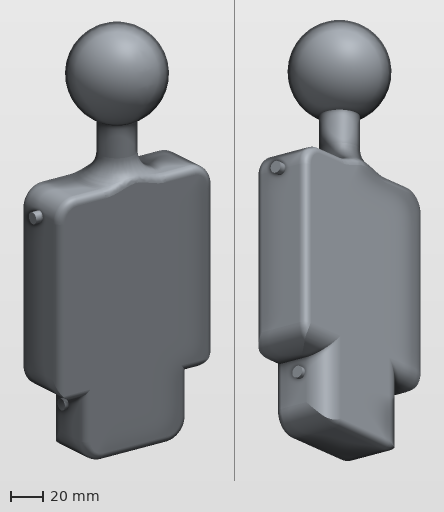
import cadquery as cq
import math

total_height = 279.0
thickness = 40.0
body_width = 120.0
body_top = 180.0
stem_width = 80.0
shoulder_height = 45.0
stem_overlap = 28.0

corner_radius = 15.0
edge_radius = 5.0

ball_radius = 32.5
neck_radius = 12.8
flare_radius = 15.0

pin_radius = 4.0
upper_pin_span = 130.0
lower_pin_span = 86.0
upper_pin_height = body_top - corner_radius
lower_pin_height = 35.5


def block(width, bottom, top):
    """Sharp block of the common thickness, between two heights."""
    height = top - bottom
    return cq.Workplane("XY").box(thickness, width, height).translate((0, 0, bottom + height / 2))


def neck(base):
    """Round neck with a concave flare landing on the top face."""
    flare_edge = neck_radius + flare_radius
    arc_offset = flare_radius * math.sqrt(0.5)
    return (
        cq.Workplane("XZ")
        .moveTo(0, base - corner_radius)
        .lineTo(flare_edge, base - corner_radius)
        .lineTo(flare_edge, base)
        .threePointArc(
            (flare_edge - arc_offset, base + flare_radius - arc_offset),
            (neck_radius, base + flare_radius),
        )
        .lineTo(neck_radius, total_height - ball_radius)
        .lineTo(0, total_height - ball_radius)
        .close()
        .revolve(360, (0, 0, 0), (0, 1, 0))
    )


def shoulder_envelope():
    """Tall block rounding the underside: large end corners and a large -X edge."""
    sharp = block(body_width, shoulder_height, total_height)
    ends = sharp.edges("|X and <Z").fillet(corner_radius)
    ends = ends.faces("<X").edges("not >Z").fillet(edge_radius)
    return ends.intersect(sharp.edges("<X and <Z").fillet(corner_radius))


def upper_body():
    """Wide block with the neck, its flare trimmed flush and rounded with the large faces."""
    body = block(body_width, shoulder_height, body_top).edges("|X and >Z").fillet(corner_radius)
    trim = block(body_width, shoulder_height, total_height)
    body = body.union(neck(body_top).intersect(trim))
    body = body.faces("<X or >X").edges().fillet(edge_radius)
    return body.intersect(shoulder_envelope())


def stem():
    """Narrow lower block, with large rounds on its upright -X edges."""
    top = shoulder_height + stem_overlap
    lower = block(stem_width, 0, top).edges("|X and <Z").fillet(corner_radius)
    lower = lower.faces("<X or >X").edges("not >Z").fillet(edge_radius)
    envelope = block(stem_width, 0, top)
    return lower.intersect(envelope.edges("|Z and <X").fillet(corner_radius))


def pin_pair(span, height):
    """Pin running through the body, showing at both narrow sides."""
    pin = cq.Workplane("XZ").circle(pin_radius).extrude(span / 2, both=True)
    return pin.translate((0, 0, height))


ball = cq.Workplane("XY").sphere(ball_radius).translate((0, 0, total_height - ball_radius))

result = (
    upper_body()
    .union(stem())
    .union(ball)
    .union(pin_pair(upper_pin_span, upper_pin_height))
    .union(pin_pair(lower_pin_span, lower_pin_height))
)